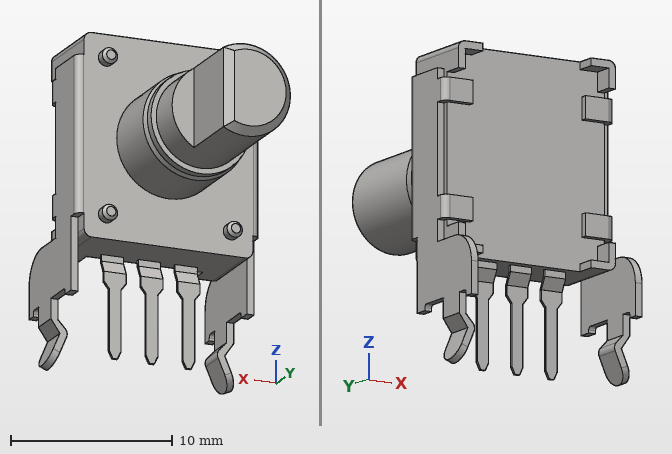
import cadquery as cq
import math


overall_height = 20.6
overall_depth = 19.9

shaft_radius = 3.0
shaft_tip_y = 12.5
shaft_chamfer = 0.52
flat_offset = 1.52
flat_end_y = 7.44
collar_radius = 3.35
collar_end_y = 4.99
collar_base_y = 4.4
bushing_radius = 3.5
bushing_end_y = 4.05

peg_radius = 0.52
peg_height = 0.8
peg_chamfer = 0.2
peg_x = 4.22
peg_z = 5.1

housing_half_width = 5.7
housing_half_height = 6.67
housing_depth = 3.7
corner_radius = 0.5
corner_wall = 0.5
corner_wall_length = 1.77
corner_wall_depth = 5.05

sheet = 0.5
bracket_half_width = housing_half_width + sheet
bracket_half_height = 5.17
bracket_bend_radius = 0.43
bracket_depth = 3.34
foot_front_y = -0.93
foot_back_y = shaft_tip_y - overall_depth
foot_top_z = -5.9
foot_corner_radius = 1.98
foot_bottom_z = -10.0
relief_top_z = -9.6
relief_radius = 0.2
relief_front_y = -1.85
relief_back_y = -6.74

tab_width = 1.48
tab_z = 3.73
tab_reach = 4.08
tab_back_y = -4.15
tab_bend_radius = 0.43

leg_front_y = -4.04
leg_width = 1.92
leg_bend_z = -10.92
knee_x = 5.58
inner_knee_x = 5.2
inner_knee_z = -11.47
leg_tip_angle = 23
leg_tip_length = 2.1
leg_tip_slope = math.radians(leg_tip_angle)
knee_z = (
    housing_half_height
    - overall_height
    + sheet * math.sin(leg_tip_slope)
    + leg_tip_length * math.cos(leg_tip_slope)
)

terminal_pitch = 2.5
terminal_count = 3
terminal_sheet = 0.19
terminal_front_y = -2.53
terminal_root_front_y = -2.95
terminal_root_z = -6.18
jog_top_z = -7.1
jog_bottom_z = -7.9
blade_width = 1.5
pin_width = 0.8
pin_tip_width = 0.33
shoulder_z = -8.53
pin_top_z = -8.98
pin_taper_z = -13.0
pin_tip_z = -13.5


def box_between(x, y, z):
    """Box spanning three (low, high) ranges."""
    lengths = [high - low for low, high in (x, y, z)]
    return cq.Workplane("XY").box(*lengths, centered=False).translate((x[0], y[0], z[0]))


def make_shaft():
    half_profile = [
        (0, 0),
        (bushing_radius, 0),
        (bushing_radius, bushing_end_y),
        (collar_radius, collar_base_y),
        (collar_radius, collar_end_y),
        (shaft_radius, collar_end_y),
        (shaft_radius, shaft_tip_y),
        (0, shaft_tip_y),
    ]
    turned = cq.Workplane("XY").polyline(half_profile).close().revolve(360, (0, 0, 0), (0, 1, 0))
    flat_cut = box_between(
        (flat_offset, shaft_radius), (flat_end_y, shaft_tip_y), (-shaft_radius, shaft_radius)
    )
    return turned.cut(flat_cut).faces(">Y").chamfer(shaft_chamfer)


def make_pegs():
    return (
        cq.Workplane("XZ")
        .rect(2 * peg_x, 2 * peg_z, forConstruction=True)
        .vertices()
        .circle(peg_radius)
        .extrude(-peg_height)
        .faces(">Y")
        .chamfer(peg_chamfer)
    )


def make_housing():
    width = 2 * housing_half_width
    height = 2 * housing_half_height
    block = cq.Workplane("XZ").rect(width, height).extrude(corner_wall_depth)
    block = block.edges("|Y").fillet(corner_radius)
    back = cq.Workplane("XZ", origin=(0, -housing_depth, 0))
    recess_depth = corner_wall_depth - housing_depth
    recesses = [
        (width - 2 * corner_wall, height - 2 * corner_wall),
        (width - 2 * corner_wall_length, height),
        (width, height - 2 * corner_wall_length),
    ]
    for recess_width, recess_height in recesses:
        block = block.cut(back.rect(recess_width, recess_height).extrude(recess_depth))
    return block


def make_bracket_plate():
    """Flat side plate on the +X side, with its foot."""
    leg_back_y = leg_front_y - leg_width
    return (
        cq.Workplane("YZ", origin=(housing_half_width, 0, 0))
        .moveTo(0, bracket_half_height)
        .lineTo(0, -bracket_half_height)
        .lineTo(foot_front_y, -bracket_half_height)
        .lineTo(foot_front_y, foot_bottom_z)
        .lineTo(relief_front_y, foot_bottom_z)
        .lineTo(relief_front_y, relief_top_z - relief_radius)
        .radiusArc((relief_front_y - relief_radius, relief_top_z), -relief_radius)
        .lineTo(leg_front_y, relief_top_z)
        .lineTo(leg_front_y, leg_bend_z)
        .lineTo(leg_back_y, leg_bend_z)
        .lineTo(leg_back_y, relief_top_z)
        .lineTo(relief_back_y + relief_radius, relief_top_z)
        .radiusArc((relief_back_y, relief_top_z - relief_radius), -relief_radius)
        .lineTo(relief_back_y, foot_bottom_z)
        .lineTo(foot_back_y, foot_bottom_z)
        .lineTo(foot_back_y, foot_top_z - foot_corner_radius)
        .radiusArc((foot_back_y + foot_corner_radius, foot_top_z), foot_corner_radius)
        .lineTo(-bracket_depth, foot_top_z)
        .lineTo(-bracket_depth, bracket_half_height)
        .close()
        .extrude(sheet)
        .edges(">X and >Y")
        .fillet(bracket_bend_radius)
    )


def make_crimp_tab(z):
    low_z = z - tab_width / 2
    high_z = z + tab_width / 2
    fold = box_between((tab_reach, bracket_half_width), (tab_back_y, -housing_depth), (low_z, high_z))
    stem = box_between(
        (housing_half_width, bracket_half_width), (tab_back_y, -bracket_depth), (low_z, high_z)
    )
    return fold.union(stem).edges("|Z and >X and <Y").fillet(tab_bend_radius)


def make_leg():
    """Leg on the +X side: bends inward to a knee, then outward to a round tip."""
    inward = (-math.cos(leg_tip_slope), -math.sin(leg_tip_slope))
    inner_end = (knee_x + sheet * inward[0], knee_z + sheet * inward[1])
    upper = (
        cq.Workplane("XZ", origin=(0, leg_front_y, 0))
        .moveTo(housing_half_width, leg_bend_z)
        .lineTo(bracket_half_width, leg_bend_z)
        .lineTo(knee_x, knee_z)
        .lineTo(*inner_end)
        .radiusArc((inner_knee_x, inner_knee_z), sheet)
        .close()
        .extrude(leg_width)
    )
    tip_radius = leg_width / 2
    straight = leg_tip_length - tip_radius
    tip_plane = cq.Plane(
        origin=(knee_x, leg_front_y - tip_radius, knee_z),
        xDir=(0, 1, 0),
        normal=(inward[0], 0, inward[1]),
    )
    tip = (
        cq.Workplane(tip_plane)
        .moveTo(-tip_radius, 0)
        .lineTo(-tip_radius, straight)
        .threePointArc((0, leg_tip_length), (tip_radius, straight))
        .lineTo(tip_radius, 0)
        .close()
        .extrude(sheet)
    )
    return upper.union(tip)


def make_side():
    side = make_bracket_plate().union(make_leg())
    for z in (-tab_z, tab_z):
        side = side.union(make_crimp_tab(z))
    return side


def make_terminal(x):
    """Thin blade jogged forward below the housing, then narrowed to a pointed pin."""
    jogged = [
        (terminal_front_y, pin_tip_z),
        (terminal_front_y, jog_bottom_z),
        (terminal_root_front_y, jog_top_z),
        (terminal_root_front_y, terminal_root_z),
        (terminal_root_front_y - terminal_sheet, terminal_root_z),
        (terminal_root_front_y - terminal_sheet, jog_top_z),
        (terminal_front_y - terminal_sheet, jog_bottom_z),
        (terminal_front_y - terminal_sheet, pin_tip_z),
    ]
    blade = cq.Workplane("YZ").polyline(jogged).close().extrude(blade_width / 2, both=True)
    right_edge = [
        (blade_width / 2, terminal_root_z),
        (blade_width / 2, shoulder_z),
        (pin_width / 2, pin_top_z),
        (pin_width / 2, pin_taper_z),
        (pin_tip_width / 2, pin_tip_z),
    ]
    left_edge = [(-edge_x, z) for edge_x, z in reversed(right_edge)]
    outline = cq.Workplane("XZ").polyline(right_edge + left_edge).close().extrude(housing_depth)
    return blade.intersect(outline).translate((x, 0, 0))


result = make_housing().union(make_shaft()).union(make_pegs())

right_side = make_side()
result = result.union(right_side).union(right_side.mirror("YZ"))

first_terminal_x = -terminal_pitch * (terminal_count - 1) / 2
for i in range(terminal_count):
    result = result.union(make_terminal(first_terminal_x + i * terminal_pitch))